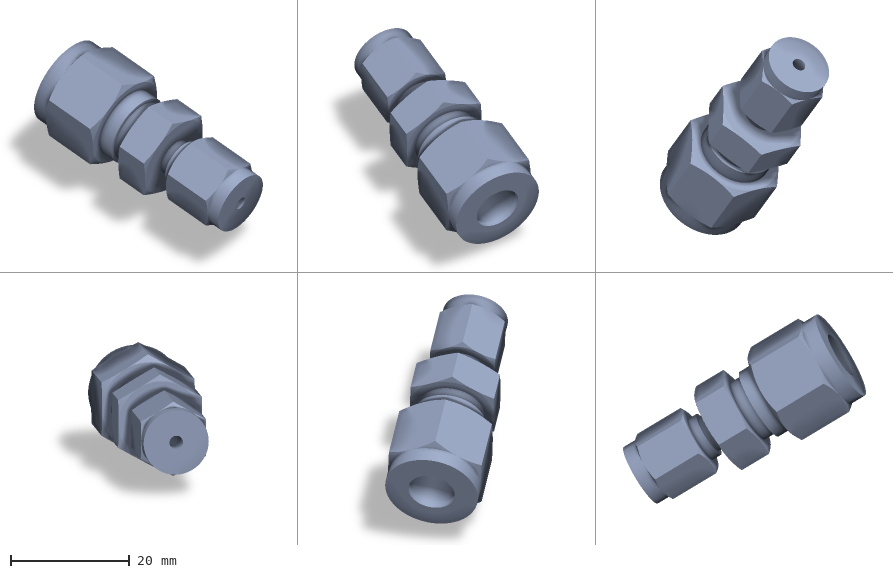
import cadquery as cq
import math

LARGE_NUT_FLATS = 15.875
BODY_HEX_FLATS = 14.2875
SMALL_NUT_FLATS = 11.1125

LARGE_COLLAR_DIAMETER = LARGE_NUT_FLATS
SMALL_COLLAR_DIAMETER = SMALL_NUT_FLATS
LARGE_SHOULDER_DIAMETER = 12.7
LARGE_NECK_DIAMETER = 11.2
SMALL_NECK_DIAMETER = 6.4
SMALL_SHOULDER_DIAMETER = 8.0

LARGE_COLLAR_LENGTH = 2.7
LARGE_NUT_LENGTH = 10.8
LARGE_SHOULDER_LENGTH = 2.75
LARGE_NECK_LENGTH = 2.25
BODY_HEX_LENGTH = 6.15
SMALL_NECK_LENGTH = 1.65
SMALL_SHOULDER_LENGTH = 1.6
SMALL_NUT_LENGTH = 9.6
OVERALL_LENGTH = 39.87

NUT_CHAMFER_ANGLE = 30.0
BODY_CHAMFER_ANGLE = 17.0

TUBE_SOCKET_DIAMETER = 7.94
TUBE_SOCKET_DEPTH = 16.3
THROUGH_BORE_DIAMETER = 2.3

large_nut_start = LARGE_COLLAR_LENGTH
large_shoulder_start = large_nut_start + LARGE_NUT_LENGTH
large_neck_start = large_shoulder_start + LARGE_SHOULDER_LENGTH
body_hex_start = large_neck_start + LARGE_NECK_LENGTH
small_neck_start = body_hex_start + BODY_HEX_LENGTH
small_shoulder_start = small_neck_start + SMALL_NECK_LENGTH
small_nut_start = small_shoulder_start + SMALL_SHOULDER_LENGTH
small_collar_start = small_nut_start + SMALL_NUT_LENGTH


def cylinder(start, end, diameter):
    """Round section centred on the X axis."""
    return cq.Workplane("YZ").workplane(offset=start).circle(diameter / 2).extrude(end - start)


def chamfered_hex(start, length, across_flats, chamfer_angle):
    """Hexagon with corners up and down, turned conically at both ends to its inscribed circle."""
    flat_radius = across_flats / 2
    corner_radius = across_flats / math.sqrt(3)
    chamfer = (corner_radius - flat_radius) * math.tan(math.radians(chamfer_angle))
    end = start + length

    hexagon = (
        cq.Workplane("YZ")
        .workplane(offset=start)
        .polygon(6, 2 * corner_radius)
        .extrude(length)
        .rotate((0, 0, 0), (1, 0, 0), 90)
    )

    turned_blank = (
        cq.Workplane("XY")
        .moveTo(start, 0)
        .lineTo(start, flat_radius)
        .lineTo(start + chamfer, corner_radius)
        .lineTo(end - chamfer, corner_radius)
        .lineTo(end, flat_radius)
        .lineTo(end, 0)
        .close()
        .revolve(360, (0, 0, 0), (1, 0, 0))
    )
    return hexagon.intersect(turned_blank)


def large_nut():
    """Large nut with the round collar at its outer end."""
    collar = cylinder(0, large_nut_start, LARGE_COLLAR_DIAMETER)
    hexagon = chamfered_hex(large_nut_start, LARGE_NUT_LENGTH, LARGE_NUT_FLATS, NUT_CHAMFER_ANGLE)
    return collar.union(hexagon)


def body():
    """Central hexagon with the stepped round necks that enter the nuts."""
    hexagon = chamfered_hex(body_hex_start, BODY_HEX_LENGTH, BODY_HEX_FLATS, BODY_CHAMFER_ANGLE)
    large_shoulder = cylinder(large_shoulder_start, large_neck_start, LARGE_SHOULDER_DIAMETER)
    large_neck = cylinder(large_neck_start, body_hex_start, LARGE_NECK_DIAMETER)
    small_neck = cylinder(small_neck_start, small_shoulder_start, SMALL_NECK_DIAMETER)
    small_shoulder = cylinder(small_shoulder_start, small_nut_start, SMALL_SHOULDER_DIAMETER)
    return large_shoulder.union(large_neck).union(hexagon).union(small_neck).union(small_shoulder)


def small_nut():
    """Small nut with the round collar at its outer end."""
    hexagon = chamfered_hex(small_nut_start, SMALL_NUT_LENGTH, SMALL_NUT_FLATS, NUT_CHAMFER_ANGLE)
    collar = cylinder(small_collar_start, OVERALL_LENGTH, SMALL_COLLAR_DIAMETER)
    return hexagon.union(collar)


def bores():
    """Tube socket in the large end and the narrow bore through the whole part."""
    socket = cylinder(0, TUBE_SOCKET_DEPTH, TUBE_SOCKET_DIAMETER)
    through_bore = cylinder(0, OVERALL_LENGTH, THROUGH_BORE_DIAMETER)
    return socket.union(through_bore)


result = large_nut().union(body()).union(small_nut()).cut(bores())